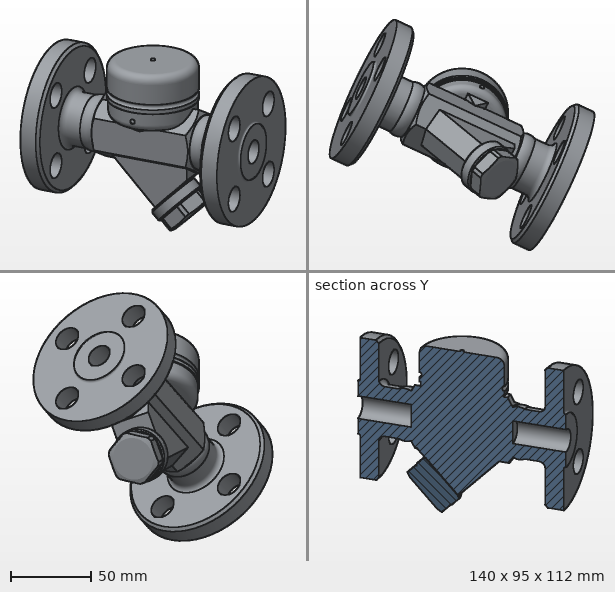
import cadquery as cq
import math

LENGTH = 140.0
BORE_DIAMETER = 15.0
FLANGE_DIAMETER = 95.0
FLANGE_THICKNESS = 12.7
FLANGE_CHAMFER = 2.0
RAISED_FACE_DIAMETER = 35.8
RAISED_FACE_HEIGHT = 1.5
BOLT_HOLE_DIAMETER = 16.0
BOLT_CIRCLE_DIAMETER = 66.5
BOLT_HOLE_COUNT = 4
NECK_DIAMETER = 34.0
NECK_ROOT_DIAMETER = 40.0
NECK_ROOT_LENGTH = 4.0
BEAD_DIAMETER = 36.0
BEAD_LENGTH = 8.1

BLOCK_ACROSS_FLATS = 37.0
BLOCK_HALF_LENGTH = 34.2
BLOCK_END_RADIUS = 17.4
TURNED_END_ANGLE = 30.0
LUG_WIDTH = 10.1
LUG_TOP = 23.1
LUG_FILLET = 3.0

CAP_DIAMETER = 57.5
CAP_TOP = 49.0
CAP_FILLET = 5.5
GROOVE_TOP = 30.4
GROOVE_WIDTH = 3.5
GROOVE_DEPTH = 1.5
RIM_HEIGHT = 3.0
CUP_DIAMETER = 56.0
CUP_BOTTOM = 11.2
CUP_FILLET = 4.9
PIP_DIAMETER = 3.0
CAP_PIP_HEIGHT = 48.6
CUP_PIP_HEIGHT = 17.6

RIB_WIDTH = 14.0
RIB_DEPTH = 4.2
RIB_HEIGHT = 3.6

LEG_ANGLE = 45.0
LEG_START_X = -25.0
LEG_ACROSS_FLATS = 26.0
LEG_LENGTH = 54.3
LEG_SIDE_HEIGHT = 35.0
LEG_RIGHT_LIMIT = 30.0

PLUG_COLLAR_DIAMETER = 33.9
PLUG_COLLAR_THICKNESS = 8.4
PLUG_COLLAR_CHAMFER = 1.0
PLUG_ACROSS_FLATS = 30.0
PLUG_TURNED_DIAMETER = 33.0
PLUG_HEX_LENGTH = 9.4
PLUG_END_CHAMFER_WIDTH = 3.4
PLUG_END_CHAMFER_LENGTH = 1.0

HALF_LENGTH = LENGTH / 2
FLANGE_FRONT = HALF_LENGTH - RAISED_FACE_HEIGHT
FLANGE_BACK = FLANGE_FRONT - FLANGE_THICKNESS
NECK_RADIUS = NECK_DIAMETER / 2
CAP_RADIUS = CAP_DIAMETER / 2
CUP_RADIUS = CUP_DIAMETER / 2
GROOVE_BOTTOM = GROOVE_TOP - GROOVE_WIDTH
RIM_BOTTOM = GROOVE_BOTTOM - RIM_HEIGHT

LEG_SLOPE = math.radians(LEG_ANGLE)
LEG_FRAME = cq.Plane(
    origin=(LEG_START_X, 0, 0),
    xDir=(0, 1, 0),
    normal=(math.cos(LEG_SLOPE), 0, -math.sin(LEG_SLOPE)),
)


def hexagon_diameter(across_flats):
    """Diameter through the corners of a hexagon."""
    return across_flats * 2 / math.sqrt(3)


def pipe_end():
    """Inlet pipe with flange, raised face, neck and bead, turned about X."""
    face_radius = RAISED_FACE_DIAMETER / 2
    face_root_radius = face_radius + RAISED_FACE_HEIGHT
    face_fillet_mid = RAISED_FACE_HEIGHT * (1 - math.sqrt(0.5))
    flange_radius = FLANGE_DIAMETER / 2
    neck_start = FLANGE_BACK - NECK_ROOT_LENGTH
    neck_rise = (NECK_ROOT_DIAMETER - NECK_DIAMETER) / 2
    neck_fillet = (NECK_ROOT_LENGTH**2 + neck_rise**2) / (2 * neck_rise)
    bead_start = BLOCK_HALF_LENGTH + BEAD_LENGTH
    bead_middle = BLOCK_HALF_LENGTH + BEAD_LENGTH / 2
    body = (
        cq.Workplane("XY")
        .moveTo(-HALF_LENGTH, 0)
        .lineTo(-HALF_LENGTH, face_radius)
        .threePointArc(
            (-FLANGE_FRONT - face_fillet_mid, face_radius + face_fillet_mid),
            (-FLANGE_FRONT, face_root_radius),
        )
        .lineTo(-FLANGE_FRONT, flange_radius)
        .lineTo(-FLANGE_BACK - FLANGE_CHAMFER, flange_radius)
        .lineTo(-FLANGE_BACK, flange_radius - FLANGE_CHAMFER)
        .lineTo(-FLANGE_BACK, NECK_ROOT_DIAMETER / 2)
        .radiusArc((-neck_start, NECK_RADIUS), -neck_fillet)
        .lineTo(-bead_start, NECK_RADIUS)
        .threePointArc((-bead_middle, BEAD_DIAMETER / 2), (-BLOCK_HALF_LENGTH, NECK_RADIUS))
        .lineTo(-BLOCK_HALF_LENGTH, 0)
        .close()
        .revolve(360, (0, 0, 0), (1, 0, 0))
    )
    bolt_holes = (
        cq.Workplane("YZ", origin=(-HALF_LENGTH, 0, 0))
        .polarArray(BOLT_CIRCLE_DIAMETER / 2, 180 / BOLT_HOLE_COUNT, 360, BOLT_HOLE_COUNT)
        .circle(BOLT_HOLE_DIAMETER / 2)
        .extrude(HALF_LENGTH - FLANGE_BACK)
    )
    bore = (
        cq.Workplane("YZ", origin=(-HALF_LENGTH, 0, 0))
        .circle(BORE_DIAMETER / 2)
        .extrude(HALF_LENGTH - BLOCK_HALF_LENGTH)
    )
    return body.cut(bolt_holes).cut(bore)


def turned_envelope():
    """Double cone that turns the ends of the block and of its lug."""
    middle_radius = BLOCK_END_RADIUS + BLOCK_HALF_LENGTH / math.tan(math.radians(TURNED_END_ANGLE))
    return (
        cq.Workplane("XY")
        .polyline(
            [
                (-BLOCK_HALF_LENGTH, 0),
                (-BLOCK_HALF_LENGTH, BLOCK_END_RADIUS),
                (0, middle_radius),
                (BLOCK_HALF_LENGTH, BLOCK_END_RADIUS),
                (BLOCK_HALF_LENGTH, 0),
            ]
        )
        .close()
        .revolve(360, (0, 0, 0), (1, 0, 0))
    )


def centre_block():
    """Hexagonal bar along X, flats facing +Y and -Y."""
    return (
        cq.Workplane("YZ", origin=(-BLOCK_HALF_LENGTH, 0, 0))
        .transformed(rotate=(0, 0, 90))
        .polygon(6, hexagon_diameter(BLOCK_ACROSS_FLATS))
        .extrude(2 * BLOCK_HALF_LENGTH)
    )


def stop_lug():
    """Lug on the block ridge, running from the inlet end into the cup."""
    return (
        cq.Workplane("XY")
        .box(BLOCK_HALF_LENGTH, LUG_WIDTH, LUG_TOP, centered=(False, True, False))
        .translate((-BLOCK_HALF_LENGTH, 0, 0))
    )


def cover():
    """Cap, groove, rim and cup turned about Z, with a pip on top and one in front."""
    turned = (
        cq.Workplane("XZ")
        .moveTo(0, CUP_BOTTOM)
        .lineTo(CUP_RADIUS - CUP_FILLET, CUP_BOTTOM)
        .radiusArc((CUP_RADIUS, CUP_BOTTOM + CUP_FILLET), -CUP_FILLET)
        .lineTo(CUP_RADIUS, RIM_BOTTOM)
        .lineTo(CAP_RADIUS, RIM_BOTTOM)
        .lineTo(CAP_RADIUS, GROOVE_BOTTOM)
        .threePointArc(
            (CAP_RADIUS - GROOVE_DEPTH, (GROOVE_TOP + GROOVE_BOTTOM) / 2),
            (CAP_RADIUS, GROOVE_TOP),
        )
        .lineTo(CAP_RADIUS, CAP_TOP - CAP_FILLET)
        .radiusArc((CAP_RADIUS - CAP_FILLET, CAP_TOP), -CAP_FILLET)
        .lineTo(0, CAP_TOP)
        .close()
        .revolve(360, (0, 0, 0), (0, 1, 0))
    )
    return turned.union(pip(0, 0, CAP_PIP_HEIGHT)).union(pip(0, -CUP_RADIUS, CUP_PIP_HEIGHT))


def pip(x, y, z):
    """Small ball, partly sunk into the surface it marks."""
    return cq.Workplane("XY").sphere(PIP_DIAMETER / 2).translate((x, y, z))


def strainer_leg():
    """Sloping leg: V-shaped underside, flat sides and a square-cut end."""
    half_width = LEG_ACROSS_FLATS / 2
    lower_edge = -half_width / math.sqrt(3)
    keel = 2 * lower_edge
    bar = (
        cq.Workplane(LEG_FRAME)
        .polyline(
            [
                (0, keel),
                (half_width, lower_edge),
                (half_width, LEG_SIDE_HEIGHT),
                (-half_width, LEG_SIDE_HEIGHT),
                (-half_width, lower_edge),
            ]
        )
        .close()
        .extrude(LEG_LENGTH)
    )
    limit = (
        cq.Workplane("XY")
        .box(2 * LENGTH, LENGTH, LENGTH, centered=(False, True, False))
        .translate((LEG_RIGHT_LIMIT - 2 * LENGTH, 0, -LENGTH))
    )
    return bar.intersect(limit)


def cup_rib():
    """Wedge between the front flat of the block and the cup bottom."""
    block_front = -BLOCK_ACROSS_FLATS / 2
    rib_bottom = CUP_BOTTOM - RIB_HEIGHT
    side_taper = (
        cq.Workplane("XZ")
        .polyline([(-RIB_WIDTH / 2, CUP_BOTTOM), (RIB_WIDTH / 2, CUP_BOTTOM), (0, rib_bottom)])
        .close()
        .extrude(BLOCK_ACROSS_FLATS)
    )
    front_taper = (
        cq.Workplane("YZ")
        .polyline(
            [
                (0, CUP_BOTTOM),
                (block_front - RIB_DEPTH, CUP_BOTTOM),
                (block_front, rib_bottom),
                (0, rib_bottom),
            ]
        )
        .close()
        .extrude(RIB_WIDTH / 2, both=True)
    )
    return side_taper.intersect(front_taper)


def block_with_cover():
    """Centre block, lug and cover, with the lug sides blended into the cup."""
    block = centre_block().union(stop_lug()).intersect(turned_envelope())
    lug_side = LUG_WIDTH / 2
    blend_x = -math.sqrt(CUP_RADIUS**2 - lug_side**2)
    lug_corners = cq.selectors.BoxSelector(
        (blend_x - LUG_FILLET, -LUG_WIDTH, 0),
        (blend_x + LUG_FILLET, LUG_WIDTH, LUG_TOP),
    )
    return block.union(cover()).edges("|Z").edges(lug_corners).fillet(LUG_FILLET)


def make_valve_body():
    """Block, cover, rib, strainer leg and both pipe ends as one casting."""
    inlet = pipe_end()
    outlet = inlet.mirror("YZ")
    return block_with_cover().union(cup_rib()).union(strainer_leg()).union(inlet).union(outlet)


def make_plug():
    """Screw plug: chamfered round collar and a turned hexagon head."""
    outer_end = cq.selectors.DirectionMinMaxSelector(LEG_FRAME.zDir, True)
    collar = (
        cq.Workplane(LEG_FRAME)
        .workplane(offset=LEG_LENGTH)
        .circle(PLUG_COLLAR_DIAMETER / 2)
        .extrude(PLUG_COLLAR_THICKNESS)
        .edges()
        .chamfer(PLUG_COLLAR_CHAMFER)
    )
    head_frame = cq.Workplane(LEG_FRAME).workplane(offset=LEG_LENGTH + PLUG_COLLAR_THICKNESS)
    head = (
        head_frame.transformed(rotate=(0, 0, 90))
        .polygon(6, hexagon_diameter(PLUG_ACROSS_FLATS))
        .extrude(PLUG_HEX_LENGTH)
    )
    turning = (
        head_frame.circle(PLUG_TURNED_DIAMETER / 2)
        .extrude(PLUG_HEX_LENGTH)
        .faces(outer_end)
        .chamfer(PLUG_END_CHAMFER_LENGTH, PLUG_END_CHAMFER_WIDTH)
    )
    return collar.union(head.intersect(turning))


valve_body = make_valve_body()
plug = make_plug()
result = cq.Compound.makeCompound([valve_body.val(), plug.val()])